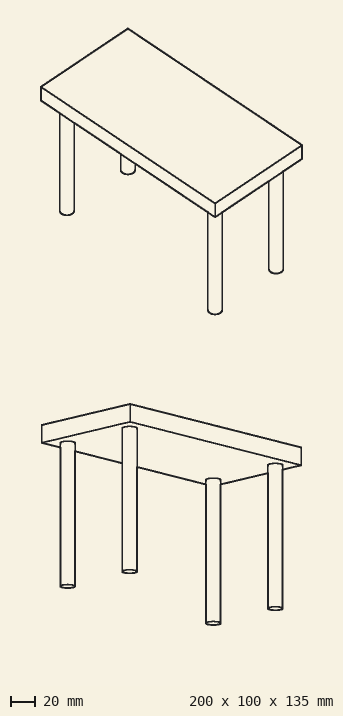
import cadquery as cq

top_length = 200
top_width = 100
top_thickness = 15.0

leg_height = 120
leg_diameter = 12
leg_inset = 15.0

leg_spacing_x = top_length - 2 * leg_inset
leg_spacing_y = top_width - 2 * leg_inset

table_top = (
    cq.Workplane("XY")
    .workplane(offset=leg_height)
    .box(top_length, top_width, top_thickness, centered=(True, True, False))
)

legs = (
    cq.Workplane("XY")
    .rect(leg_spacing_x, leg_spacing_y, forConstruction=True)
    .vertices()
    .circle(leg_diameter / 2)
    .extrude(leg_height)
)

result = table_top.union(legs)